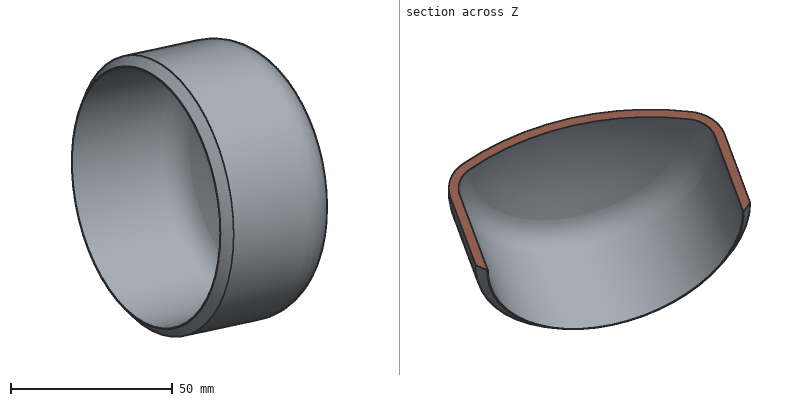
import cadquery as cq
import math

outer_radius = 44.45
total_length = 50.8
wall = 3.2
crown_radius = 88.9
knuckle_radius = 12.9
rim_chamfer = 2.9

crown_center_y = total_length - crown_radius
knuckle_center_x = outer_radius - knuckle_radius
center_distance = crown_radius - knuckle_radius
tangent_angle = math.asin(knuckle_center_x / center_distance)
skirt_length = crown_center_y + center_distance * math.cos(tangent_angle)


def crown_point(radius, angle):
    """Point on a crown arc, with the angle measured from the axis."""
    return radius * math.sin(angle), crown_center_y + radius * math.cos(angle)


def knuckle_point(radius, angle):
    """Point on a knuckle arc, with the angle measured from the axis."""
    return (
        knuckle_center_x + radius * math.sin(angle),
        skirt_length + radius * math.cos(angle),
    )


def dished_solid(inset):
    """Solid of revolution bounded by the outer shape moved inward by inset."""
    crown = crown_radius - inset
    knuckle = knuckle_radius - inset
    knuckle_mid_angle = (tangent_angle + math.pi / 2) / 2
    return (
        cq.Workplane("XY")
        .moveTo(0, 0)
        .lineTo(outer_radius - inset, 0)
        .lineTo(outer_radius - inset, skirt_length)
        .threePointArc(
            knuckle_point(knuckle, knuckle_mid_angle),
            knuckle_point(knuckle, tangent_angle),
        )
        .threePointArc(
            crown_point(crown, tangent_angle / 2),
            (0, total_length - inset),
        )
        .close()
        .revolve(360, (0, 0, 0), (0, 1, 0))
    )


outer_body = dished_solid(0).faces("<Y").edges().chamfer(rim_chamfer)
result = outer_body.cut(dished_solid(wall))